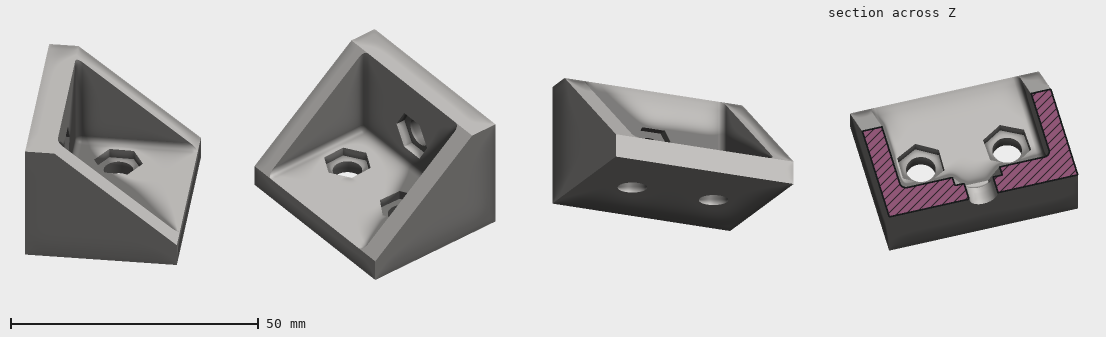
import cadquery as cq

width = 39.45
depth = 30.9
height = 25.0
front_wall = 6.0
side_wall = 4.2
base_thickness = 4.8
pocket_radius = 1.25
hole_diameter = 6.0
base_hole_spacing = 18.0
front_hole_height = 12.65
nut_corner_diameter = 10.0
nut_recess_depth = 2.0
nut_turns = (-4.4, -0.9)
bracket_turn = -32.9


def make_body():
    """Upright front wall with side cheeks sloping down to the back edge."""
    front = -depth / 2
    back = depth / 2
    profile = [
        (front, 0),
        (back, 0),
        (back, base_thickness),
        (front + front_wall, height),
        (front, height),
    ]
    return cq.Workplane("YZ").polyline(profile).close().extrude(width / 2, both=True)


def make_pocket():
    """Space between the cheeks, open at the top and back, with rounded inner edges."""
    pocket_width = width - 2 * side_wall
    pocket_depth = 2 * (depth - front_wall)
    return (
        cq.Workplane("XY")
        .box(pocket_width, pocket_depth, 2 * height, centered=(True, False, False))
        .edges("|Z or <Z")
        .fillet(pocket_radius)
        .translate((0, front_wall - depth / 2, base_thickness))
    )


def make_bolt_hole(length, nut_turn):
    """Hole rising from the origin along Z, with a hexagonal nut recess at its far end."""
    hole = cq.Workplane("XY").circle(hole_diameter / 2).extrude(length)
    nut = (
        cq.Workplane("XY", origin=(0, 0, length - nut_recess_depth))
        .polygon(6, nut_corner_diameter)
        .extrude(nut_recess_depth)
        .rotate((0, 0, 0), (0, 0, 1), nut_turn)
    )
    return hole.union(nut)


def make_front_hole():
    """Horizontal hole through the front wall, with its nut recess inside the pocket."""
    return (
        make_bolt_hole(front_wall, 0)
        .rotate((0, 0, 0), (1, 0, 0), -90)
        .translate((0, -depth / 2, front_hole_height))
    )


bracket = make_body().cut(make_pocket()).cut(make_front_hole())
for side, nut_turn in zip((-1, 1), nut_turns):
    base_hole = make_bolt_hole(base_thickness, nut_turn - bracket_turn)
    bracket = bracket.cut(base_hole.translate((side * base_hole_spacing / 2, 0, 0)))

result = bracket.rotate((0, 0, 0), (0, 0, 1), bracket_turn)